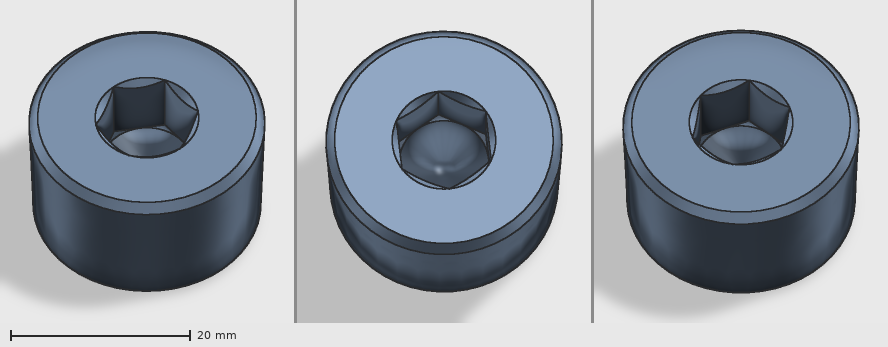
import cadquery as cq
import math

top_diameter = 26.35
height = 16.0
taper_ratio = 1 / 16
top_chamfer = 0.97
bottom_chamfer_height = 0.97
bottom_chamfer_width = 1.1

across_flats = 10.0
socket_depth = 7.9
countersink_angle = 45.0
drill_point_angle = 120.0

taper_length = height - top_chamfer - bottom_chamfer_height
top_radius = top_diameter / 2
bottom_radius = top_radius - taper_length * taper_ratio / 2
flat_radius = across_flats / 2
corner_radius = flat_radius / math.cos(math.radians(30))


def plug_body():
    """Tapered round body with a chamfer at each end."""
    return (
        cq.Workplane("XZ")
        .moveTo(0, 0)
        .lineTo(bottom_radius - bottom_chamfer_width, 0)
        .lineTo(bottom_radius, bottom_chamfer_height)
        .lineTo(top_radius, height - top_chamfer)
        .lineTo(top_radius - top_chamfer, height)
        .lineTo(0, height)
        .close()
        .revolve(360, (0, 0, 0), (0, 1, 0))
    )


def hexagon_hole():
    """Straight part of the socket, with corners on the Y axis."""
    return (
        cq.Workplane("XY", origin=(0, 0, height))
        .transformed(rotate=(0, 0, 90))
        .polygon(6, 2 * corner_radius)
        .extrude(-socket_depth)
    )


def countersink():
    """Cone that starts at the hexagon corners and cuts into the flats."""
    cone_depth = corner_radius * math.tan(math.radians(countersink_angle))
    return cq.Workplane(
        cq.Solid.makeCone(corner_radius, 0, cone_depth, cq.Vector(0, 0, height), cq.Vector(0, 0, -1))
    )


def drill_point():
    """Conical floor that touches the hexagon flats."""
    point_depth = flat_radius / math.tan(math.radians(drill_point_angle / 2))
    floor_height = height - socket_depth
    return cq.Workplane(
        cq.Solid.makeCone(flat_radius, 0, point_depth, cq.Vector(0, 0, floor_height), cq.Vector(0, 0, -1))
    )


result = plug_body().cut(hexagon_hole()).cut(countersink()).cut(drill_point())